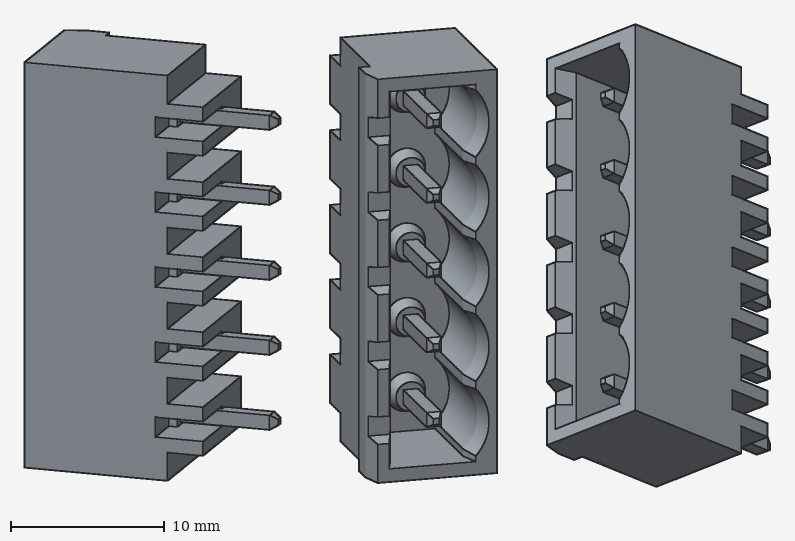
import cadquery as cq


pole_count = 5
pole_pitch = 5.07
pole_y = 3.85

body_length = 9.8
body_height = 27.4
body_depth = 7.75
lip_depth = 8.5
lip_length = 2.95
lip_chamfer_length = 1.48
lip_chamfer_depth = 0.4

end_wall = 0.9
socket_length = 7.95
lead_in_length = 1.42
lip_wall_mouth = 1.18
lip_wall_inner = 1.67
cusp_mouth_y = 1.45
cusp_inner_y = 1.9
scallop_mouth_radius = 3.32
scallop_inner_radius = 2.93

notch_length = 1.15
notch_mouth_width = 1.85
notch_floor_width = 1.35

collar_base_radius = 1.32
collar_top_radius = 1.0
collar_length = 1.1

tab_end = 12.25
tab_width = 3.3
slot_width = 1.35
slot_start = 9.0
ledge_length = 0.58
ledge_y = 2.75

pin_start = 0.93
pin_end = 16.2
pin_width = 1.0
pin_tip_width = 0.4
pin_tip_length = 0.52

first_pole_z = (body_height - (pole_count - 1) * pole_pitch) / 2
pole_heights = [first_pole_z + i * pole_pitch for i in range(pole_count)]


def box(x, y, z):
    """Box given by its (low, high) range along each axis."""
    size = [high - low for low, high in (x, y, z)]
    return cq.Workplane("XY").box(*size, centered=False).translate((x[0], y[0], z[0]))


def centred_on(z, width):
    """Range of the given width about height z."""
    return (z - width / 2, z + width / 2)


def pole_plane(x, z):
    """Plane facing +X whose origin is on the axis of the pole at height z."""
    return cq.Workplane("YZ", origin=(x, pole_y, z))


def make_body():
    profile = [
        (0, 0),
        (body_length, 0),
        (body_length, body_depth),
        (lip_length, body_depth),
        (lip_length, lip_depth),
        (lip_chamfer_length, lip_depth),
        (0, lip_depth - lip_chamfer_depth),
    ]
    return cq.Workplane("XY").polyline(profile).close().extrude(body_height)


def make_scallop(z):
    """Round bay of the socket beside one pole, narrowing over the lead-in."""
    lead_in = (
        pole_plane(0, z)
        .circle(scallop_mouth_radius)
        .workplane(offset=lead_in_length)
        .circle(scallop_inner_radius)
        .loft()
    )
    straight_length = socket_length - lead_in_length
    straight = pole_plane(lead_in_length, z).circle(scallop_inner_radius).extrude(straight_length)
    limits = box((0, socket_length), (0, pole_y), (end_wall, body_height - end_wall))
    return lead_in.union(straight).intersect(limits)


def make_socket():
    profile = [
        (0, cusp_mouth_y),
        (lead_in_length, cusp_inner_y),
        (socket_length, cusp_inner_y),
        (socket_length, lip_depth - lip_wall_inner),
        (lead_in_length, lip_depth - lip_wall_inner),
        (0, lip_depth - lip_wall_mouth),
    ]
    socket = (
        cq.Workplane("XY", origin=(0, 0, end_wall))
        .polyline(profile)
        .close()
        .extrude(body_height - 2 * end_wall)
    )
    for z in pole_heights:
        socket = socket.union(make_scallop(z))
    return socket


def make_notch(z):
    """Coding notch through the lip, widening towards the mouth."""
    profile = [
        (0, z - notch_mouth_width / 2),
        (notch_length, z - notch_floor_width / 2),
        (notch_length, z + notch_floor_width / 2),
        (0, z + notch_mouth_width / 2),
    ]
    notch = cq.Workplane("XZ", origin=(0, lip_depth, 0)).polyline(profile).close()
    return notch.extrude(lip_depth - pole_y)


def make_collar(z):
    return (
        pole_plane(socket_length, z)
        .circle(collar_base_radius)
        .workplane(offset=-collar_length)
        .circle(collar_top_radius)
        .loft()
    )


def make_tab(z):
    return box((socket_length, tab_end), (0, body_depth), centred_on(z, tab_width))


def make_slot(z):
    """Slot from the -Y face down to the pin axis, with a shallow ledge at its closed end."""
    ledge_end = slot_start + ledge_length
    ledge = box((slot_start, ledge_end), (0, ledge_y), centred_on(z, slot_width))
    return ledge.union(box((ledge_end, tab_end), (0, pole_y), centred_on(z, slot_width)))


def make_pin(z):
    """Square pin with a blunt pyramid at both ends."""
    shaft_start = pin_start + pin_tip_length
    shaft_end = pin_end - pin_tip_length
    pin = pole_plane(shaft_start, z).rect(pin_width, pin_width).extrude(shaft_end - shaft_start)
    for base_x, direction in ((shaft_start, -1), (shaft_end, 1)):
        tip = (
            pole_plane(base_x, z)
            .rect(pin_width, pin_width)
            .workplane(offset=direction * pin_tip_length)
            .rect(pin_tip_width, pin_tip_width)
            .loft()
        )
        pin = pin.union(tip)
    return pin


result = make_body().cut(make_socket())
for pole_z in pole_heights:
    result = result.union(make_tab(pole_z))
    result = result.cut(make_notch(pole_z)).cut(make_slot(pole_z))
    result = result.union(make_collar(pole_z)).union(make_pin(pole_z))